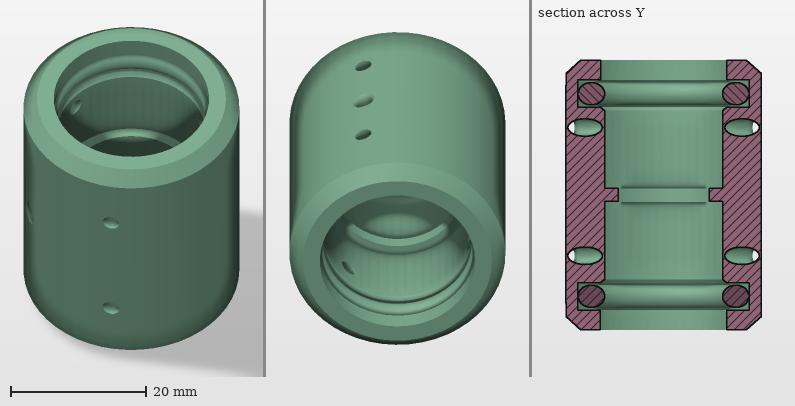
import cadquery as cq
import math

length = 40.0
outer_diameter = 32.0
end_chamfer = 2.0
bore_diameter = 22.0

stop_diameter = 19.0
stop_thickness = 2.0

mouth_diameter = 23.0
mouth_depth = 3.0
groove_diameter = 28.7
groove_width = 4.0
groove_end_depth = mouth_depth + groove_width
bore_chamfer = (mouth_diameter - bore_diameter) / 2

ring_section = (groove_diameter - bore_diameter) / 2

port_diameter = 2.5
port_row_heights = (10.0, -9.0)
port_angles = (90, 210, 330)

dimple_height = sum(port_row_heights) / len(port_row_heights)
dimple_diameter = 3.3
dimple_angles = (90, 270)
dimple_cone_angle = 90.0

outer_radius = outer_diameter / 2


def radial_direction(angle):
    return cq.Vector(math.cos(math.radians(angle)), math.sin(math.radians(angle)), 0)


def end_disk(side, diameter, start_depth, end_depth):
    """Disk between two depths below the end face; side is +1 for the top, -1 for the bottom."""
    start = cq.Vector(0, 0, side * (length / 2 - start_depth))
    return cq.Solid.makeCylinder(diameter / 2, end_depth - start_depth, start, cq.Vector(0, 0, -side))


def bore_lead_in(side):
    """Cone narrowing from the groove's inner end down to the bore."""
    start = cq.Vector(0, 0, side * (length / 2 - groove_end_depth))
    return cq.Solid.makeCone(
        mouth_diameter / 2, bore_diameter / 2, bore_chamfer, start, cq.Vector(0, 0, -side)
    )


def cut_socket(body, side):
    body = body.cut(end_disk(side, bore_diameter, 0, (length - stop_thickness) / 2))
    body = body.cut(end_disk(side, mouth_diameter, 0, mouth_depth))
    body = body.cut(end_disk(side, groove_diameter, mouth_depth, groove_end_depth))
    return body.cut(bore_lead_in(side))


def make_port(angle, height):
    """Radial hole from the axis out through one wall."""
    return cq.Solid.makeCylinder(
        port_diameter / 2, outer_diameter, cq.Vector(0, 0, height), radial_direction(angle)
    )


def make_dimple(angle):
    """Cone pointing at the axis, extended past the surface so its cut breaks through cleanly."""
    slope = math.tan(math.radians(dimple_cone_angle / 2))
    rim_radius = dimple_diameter / 2
    rim_distance = math.sqrt(outer_radius**2 - rim_radius**2)
    tip_distance = rim_distance - rim_radius / slope
    cone_height = 2 * (outer_radius - tip_distance)
    direction = radial_direction(angle)
    tip = direction * tip_distance + cq.Vector(0, 0, dimple_height)
    return cq.Solid.makeCone(0, cone_height * slope, cone_height, tip, direction)


def make_sleeve():
    body = cq.Workplane("XY", origin=(0, 0, -length / 2)).circle(outer_radius).extrude(length)
    body = body.faces("<Z or >Z").chamfer(end_chamfer)
    body = body.cut(end_disk(1, stop_diameter, 0, length))
    for side in (1, -1):
        body = cut_socket(body, side)
    for angle in port_angles:
        for height in port_row_heights:
            body = body.cut(make_port(angle, height))
    for angle in dimple_angles:
        body = body.cut(make_dimple(angle))
    return body


def make_seal_ring(side):
    """O-ring reaching from the groove floor inward past the mouth to the bore diameter."""
    center_z = side * (length / 2 - mouth_depth - groove_width / 2)
    center_radius = (bore_diameter + ring_section) / 2
    return cq.Solid.makeTorus(center_radius, ring_section / 2, cq.Vector(0, 0, center_z))


sleeve = make_sleeve()
seal_rings = [make_seal_ring(side) for side in (1, -1)]

result = cq.Compound.makeCompound([sleeve.val(), *seal_rings])